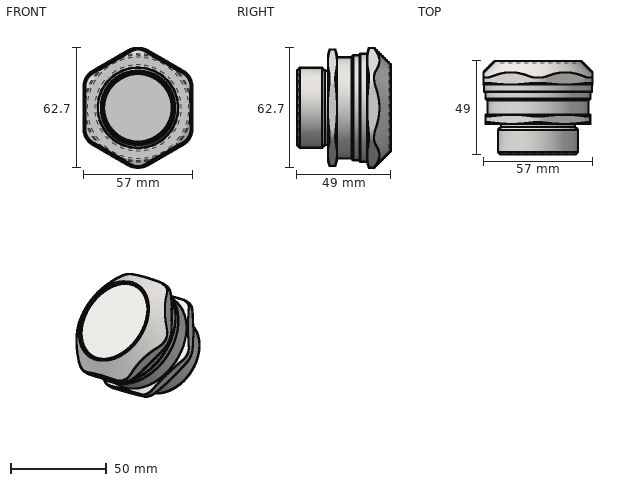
import cadquery as cq
import math

overall_length = 49.0

thread_radius = 41.9 / 2
thread_relief_radius = 38.9 / 2
thread_chamfer = thread_radius - thread_relief_radius
thread_end = 13.0
relief_start = thread_end + thread_chamfer
recess_mouth_radius = 18.7
recess_floor_radius = 17.7
recess_depth = recess_mouth_radius - recess_floor_radius

fixed_hex_start = 16.05
fixed_hex_end = 20.9
fixed_hex_flats = 54.9
fixed_hex_corner_radius = 7.5

body_radius = 53.0 / 2
step_radius = 55.0 / 2
collar_radius = 56.6 / 2
step_start = 28.4
step_chamfer = step_radius - body_radius
collar_start = 32.7
collar_chamfer = 0.4

cap_hex_start = 36.6
cap_hex_flats = 57.0
cap_hex_tip_span = 62.7
cap_rim_radius = 22.6
cap_bore_radius = 43.1 / 2
cap_bore_depth = 1.0

flats_to_tips = 1 / math.cos(math.radians(30))
cap_hex_corner_radius = (cap_hex_flats * flats_to_tips - cap_hex_tip_span) / 2 / (flats_to_tips - 1)
hex_chamfer_slope = 0.3
hex_face_inset = 0.1
trim_radius = 33.25


def revolve_profile(points):
    """Revolve (radius, Y) points around the Y axis."""
    return cq.Workplane("XY").polyline(points).close().revolve(360, (0, 0, 0), (0, 1, 0))


def rounded_hexagon(flats, corner_radius, start, end):
    """Hexagonal prism with tips along Z and rounded corners."""
    return (
        cq.Workplane("XZ", origin=(0, start, 0))
        .transformed(rotate=(0, 0, 90))
        .polygon(6, flats * flats_to_tips)
        .extrude(start - end)
        .edges("|Y")
        .fillet(corner_radius)
    )


def fixed_hexagon():
    face_radius = fixed_hex_flats / 2 - hex_face_inset
    trim_drop = (trim_radius - face_radius) * hex_chamfer_slope
    envelope = revolve_profile([
        (0, fixed_hex_start),
        (face_radius, fixed_hex_start),
        (trim_radius, fixed_hex_start + trim_drop),
        (trim_radius, fixed_hex_end - trim_drop),
        (face_radius, fixed_hex_end),
        (0, fixed_hex_end),
    ])
    prism = rounded_hexagon(fixed_hex_flats, fixed_hex_corner_radius, fixed_hex_start, fixed_hex_end)
    return prism.intersect(envelope)


def cap_hexagon():
    face_radius = cap_hex_flats / 2 - hex_face_inset
    trim_drop = (trim_radius - face_radius) * hex_chamfer_slope
    envelope = revolve_profile([
        (0, cap_hex_start),
        (face_radius, cap_hex_start),
        (trim_radius, cap_hex_start + trim_drop),
        (trim_radius, overall_length - (trim_radius - cap_rim_radius)),
        (cap_rim_radius, overall_length),
        (0, overall_length),
    ])
    prism = rounded_hexagon(cap_hex_flats, cap_hex_corner_radius, cap_hex_start, overall_length)
    bore = revolve_profile([
        (0, overall_length - cap_bore_depth),
        (cap_bore_radius, overall_length - cap_bore_depth),
        (cap_bore_radius, overall_length),
        (0, overall_length),
    ])
    return prism.intersect(envelope).cut(bore)


def turned_body():
    return revolve_profile([
        (0, recess_depth),
        (recess_floor_radius, recess_depth),
        (recess_mouth_radius, 0),
        (thread_relief_radius, 0),
        (thread_radius, thread_chamfer),
        (thread_radius, thread_end),
        (thread_relief_radius, relief_start),
        (thread_relief_radius, fixed_hex_end),
        (body_radius, fixed_hex_end),
        (body_radius, step_start),
        (step_radius, step_start + step_chamfer),
        (step_radius, collar_start),
        (collar_radius - collar_chamfer, collar_start),
        (collar_radius, collar_start + collar_chamfer),
        (collar_radius, cap_hex_start),
        (0, cap_hex_start),
    ])


result = turned_body().union(fixed_hexagon()).union(cap_hexagon())